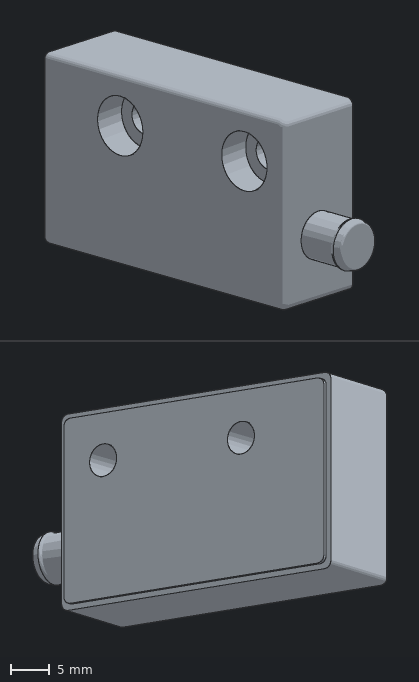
import cadquery as cq
import math

body_length = 43.0
body_depth = 13.0
body_height = 26.0
edge_radius = 1.0

cover_thickness = 0.5
cover_inset = 0.75
cover_corner_radius = 1.0

hole_diameter = 4.3
counterbore_diameter = 8.0
counterbore_depth = 4.5
first_hole_x = 14.0
hole_spacing = 22.0
hole_drop = 7.0

total_length = 50.1
outlet_drop = 17.0
outlet_radius = 3.25
bead_radius = 3.5
bead_length = 1.75
bead_root_radius = 0.15
bead_crest_radius = 0.6
bead_tip_radius = 0.3
tip_radius = 2.95

SIN_45 = math.sin(math.radians(45))


def make_housing():
    block = cq.Workplane("XY").box(body_length, body_depth, body_height, centered=False)
    return block.edges("not(>Y)").fillet(edge_radius)


def make_cover():
    plate = cq.Workplane("XY").box(
        body_length - 2 * cover_inset,
        cover_thickness,
        body_height - 2 * cover_inset,
        centered=False,
    )
    plate = plate.edges("|Y").fillet(cover_corner_radius)
    return plate.translate((cover_inset, body_depth, cover_inset))


def make_outlet():
    """Round stub ending in a tapered bead, revolved about its X axis."""
    root_centre_radius = outlet_radius + bead_root_radius
    crest_centre_radius = bead_radius - bead_crest_radius
    centre_angle = math.asin(
        (root_centre_radius - crest_centre_radius) / (bead_root_radius + bead_crest_radius)
    )
    bead_start = total_length - bead_length
    crest_x = bead_start + (bead_root_radius + bead_crest_radius) * math.cos(centre_angle)
    touch_point = (
        crest_x - bead_crest_radius * math.cos(centre_angle),
        crest_centre_radius + bead_crest_radius * math.sin(centre_angle),
    )
    taper_end = (total_length - bead_tip_radius, tip_radius + bead_tip_radius)
    inner_x = body_length - edge_radius

    axis_origin = (0, body_depth / 2, body_height - outlet_drop)
    half_section = (
        cq.Workplane("XY", origin=axis_origin)
        .moveTo(inner_x, 0)
        .lineTo(inner_x, outlet_radius)
        .lineTo(bead_start, outlet_radius)
        .tangentArcPoint(touch_point, relative=False)
        .tangentArcPoint((crest_x, bead_radius), relative=False)
        .lineTo(*taper_end)
        .threePointArc(
            (
                taper_end[0] + bead_tip_radius * SIN_45,
                tip_radius + bead_tip_radius * SIN_45,
            ),
            (total_length, tip_radius),
        )
        .lineTo(total_length, 0)
        .close()
    )
    return half_section.revolve(360, (0, 0, 0), (1, 0, 0))


def make_hole(x):
    """Through hole with a counterbore opening on the front face, as a cutting solid."""
    drill_length = body_depth + cover_thickness
    front = cq.Workplane("XZ", origin=(x, 0, body_height - hole_drop))
    drill = front.circle(hole_diameter / 2).extrude(-drill_length)
    counterbore = front.circle(counterbore_diameter / 2).extrude(-counterbore_depth)
    return drill.union(counterbore)


result = make_housing().union(make_cover()).union(make_outlet())
for hole_x in (first_hole_x, first_hole_x + hole_spacing):
    result = result.cut(make_hole(hole_x))